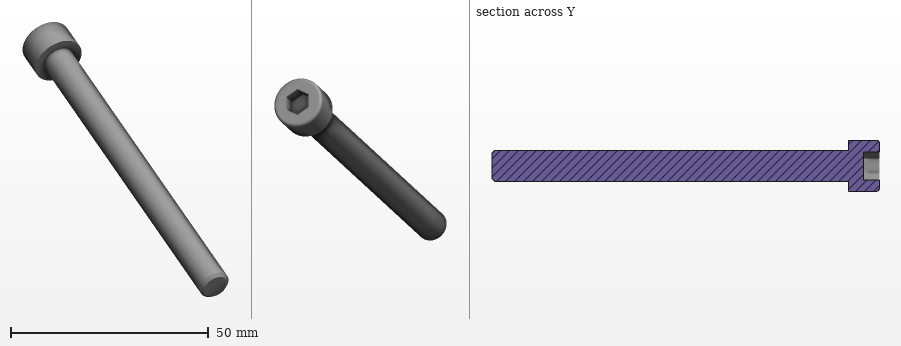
import cadquery as cq
import math

thread_diameter = 8.0
shank_length = 90.0
head_diameter = 13.0
head_height = thread_diameter
head_rounding = 0.8
tip_chamfer = 0.8
socket_across_flats = 6.0
socket_depth = 4.0

head_face_x = -head_height
tip_x = shank_length


def make_body():
    """Head and shank, turned from one half profile about the X axis."""
    head_radius = head_diameter / 2
    shank_radius = thread_diameter / 2
    rounding_inset = head_rounding * (1 - math.sqrt(0.5))
    profile = (
        cq.Workplane("XZ")
        .moveTo(head_face_x, 0)
        .lineTo(head_face_x, head_radius - head_rounding)
        .threePointArc(
            (head_face_x + rounding_inset, head_radius - rounding_inset),
            (head_face_x + head_rounding, head_radius),
        )
        .lineTo(0, head_radius)
        .lineTo(0, shank_radius)
        .lineTo(tip_x - tip_chamfer, shank_radius)
        .lineTo(tip_x, shank_radius - tip_chamfer)
        .lineTo(tip_x, 0)
        .close()
    )
    return profile.revolve(360, (0, 0, 0), (1, 0, 0))


def make_socket():
    """Hexagonal key socket with two corners on the Z direction."""
    across_corners = socket_across_flats / math.cos(math.pi / 6)
    return (
        cq.Workplane("YZ", origin=(head_face_x, 0, 0))
        .transformed(rotate=(0, 0, 90))
        .polygon(6, across_corners)
        .extrude(socket_depth)
    )


result = make_body().cut(make_socket())